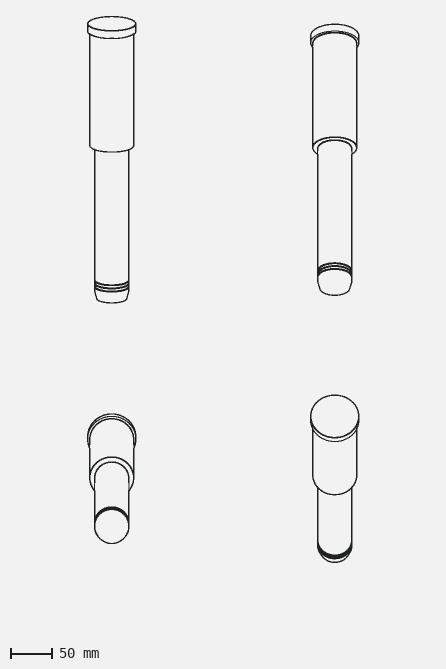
import cadquery as cq
import math

total_length = 351.0
head_diameter = 59.0
head_height = 10.0
body_diameter = 54.0
body_length = 146.0
shank_diameter = 42.0
edge_chamfer = 0.5

lead_in_height = 10.0
lead_in_angle = 15.0
tip_rim_radius = 0.5

groove_width = 1.0
groove_depth = 0.5
oil_groove_pitch = 4.0
oil_groove_count = 3
lowest_oil_groove_height = 15.5

head_radius = head_diameter / 2
body_radius = body_diameter / 2
shank_radius = shank_diameter / 2
tip_radius = shank_radius - lead_in_height * math.tan(math.radians(lead_in_angle))

head_bottom = -head_height
body_bottom = head_bottom - body_length
tip_bottom = -total_length
lead_in_top = tip_bottom + lead_in_height


def make_pin():
    """Head, body, shank and conical lead-in, revolved from one half profile."""
    half_profile = (
        cq.Workplane("XZ")
        .lineTo(-head_radius + edge_chamfer, 0)
        .lineTo(-head_radius, -edge_chamfer)
        .lineTo(-head_radius, head_bottom)
        .lineTo(-body_radius, head_bottom)
        .lineTo(-body_radius, body_bottom + edge_chamfer)
        .lineTo(-body_radius + edge_chamfer, body_bottom)
        .lineTo(-shank_radius, body_bottom)
        .lineTo(-shank_radius, lead_in_top)
        .lineTo(-tip_radius, tip_bottom)
        .lineTo(0, tip_bottom)
        .close()
    )
    pin = half_profile.revolve(360, (0, 0), (0, 1))
    return pin.faces("<Z").edges().fillet(tip_rim_radius)


def make_groove_cutter(center_z, surface_radius):
    """Ring that cuts one rectangular groove into a cylinder of the given radius."""
    return (
        cq.Workplane("XY", origin=(0, 0, center_z - groove_width / 2))
        .circle(surface_radius + groove_depth)
        .circle(surface_radius - groove_depth)
        .extrude(groove_width)
    )


def cut_grooves(pin):
    """Cut the two shoulder reliefs and the row of oil grooves."""
    pin = pin.cut(make_groove_cutter(head_bottom - groove_width / 2, body_radius))
    pin = pin.cut(make_groove_cutter(body_bottom - groove_width / 2, shank_radius))
    for index in range(oil_groove_count):
        center_z = tip_bottom + lowest_oil_groove_height + index * oil_groove_pitch
        pin = pin.cut(make_groove_cutter(center_z, shank_radius))
    return pin


result = cut_grooves(make_pin())